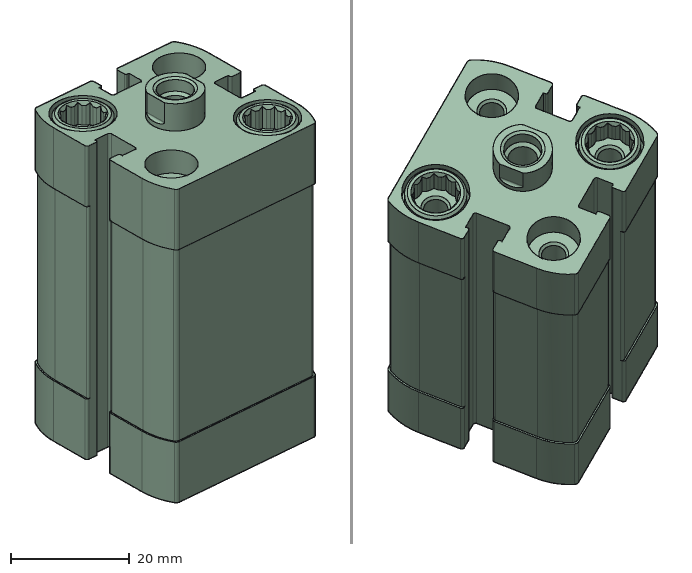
import cadquery as cq
import math


HOUSING_SIDE = 35.5
HOUSING_HEIGHT = 62.1
CAP_HEIGHT = 12.0
BARREL_INSET = 0.305
CORNER_RADIUS = 12.95
CAP_EDGE_FILLET = 0.8
BARREL_EDGE_FILLET = 1.0
HALF_SIDE = HOUSING_SIDE / 2

SLOT_MOUTH_WIDTH = 5.4
SLOT_CHANNEL_WIDTH = 6.8
SLOT_DEPTH = 5.9
SLOT_LIP = 2.5
SLOT_MOUTH_FILLET = 0.5
SLOT_LIP_FILLET = 0.3
SLOT_FLOOR_FILLET = 0.5
SLOT_ANGLES = (0, 90, 180)

HOLE_OFFSET = 11.0
HOLE_DIAMETER = 4.1
HOLE_COUNTERSINK_DIAMETER = 5.0
COUNTERBORE_DIAMETER = 9.0
COUNTERBORE_DEPTH = 4.6

GROOVE_DIAMETER = 11.5
SLEEVE_DIAMETER = 10.5
SLEEVE_TIP_DIAMETER = 9.6
GROOVE_DEPTH = 2.5
SOCKET_DIAMETER = 7.5
SPLINE_DIAMETER = 8.1
SPLINE_COUNT = 12
SPLINE_LAND_WIDTH = 0.7
SOCKET_CHAMFER_DIAMETER = 8.4
SOCKET_CHAMFER_DEPTH = 0.75

ROD_DIAMETER = 10.0
ROD_PROTRUSION = 5.4
ROD_FLATS_WIDTH = 9.0
ROD_FLATS_LENGTH = 3.9
ROD_FLATS_END_RADIUS = 0.55
ROD_BORE_DIAMETER = 6.4
ROD_BORE_CHAMFER_DIAMETER = 7.5
ROD_BORE_CHAMFER_DEPTH = 0.3
ROD_BORE_DEPTH = 2.55
ROD_DRILL_DIAMETER = 5.0
ROD_DRILL_DEPTH = 9.45
DRILL_TIP_ANGLE = 120
ROD_TOP = HOUSING_HEIGHT + ROD_PROTRUSION
ROD_BOTTOM = HOUSING_HEIGHT - CAP_HEIGHT


def turned(profile):
    """Solid of revolution about the Z axis from (radius, z) points."""
    return cq.Workplane("XZ").polyline(profile).close().revolve(360, (0, 0), (0, 1))


def tapered_plug(top_diameter, bottom_diameter, top, depth):
    """Cone frustum on the Z axis, going down from the height `top`."""
    return turned([
        (0, top),
        (top_diameter / 2, top),
        (bottom_diameter / 2, top - depth),
        (0, top - depth),
    ])


def at_corner(shape, side_x, side_y):
    """Move a shape from the Z axis to one of the fastening hole axes."""
    return shape.translate((side_x * HOLE_OFFSET, side_y * HOLE_OFFSET, 0))


def block(half_side, edge_fillet, bottom, height):
    """Square block with a large arc at each corner; `half_side` sets its inset."""
    radius = CORNER_RADIUS - (HALF_SIDE - half_side)
    arc_start = HOLE_OFFSET
    corner_run = half_side - arc_start
    corner_y = half_side - radius + math.sqrt(radius**2 - corner_run**2)
    outline = (
        cq.Workplane("XY", origin=(0, 0, bottom))
        .moveTo(-arc_start, half_side)
        .lineTo(arc_start, half_side)
        .radiusArc((half_side, corner_y), radius)
        .lineTo(half_side, -corner_y)
        .radiusArc((arc_start, -half_side), radius)
        .lineTo(-arc_start, -half_side)
        .radiusArc((-half_side, -corner_y), radius)
        .lineTo(-half_side, corner_y)
        .radiusArc((-arc_start, half_side), radius)
        .close()
    )
    return outline.extrude(height).edges("|Z").edges("<X or >X").fillet(edge_fillet)


def slot_cutter(half_side, bottom, height):
    """T-slot cutter for the back side, its mouth edges rounded outwards."""
    mouth = SLOT_MOUTH_WIDTH / 2
    channel = SLOT_CHANNEL_WIDTH / 2
    lip_y = HALF_SIDE - SLOT_LIP
    floor_y = HALF_SIDE - SLOT_DEPTH
    return (
        cq.Workplane("XY", origin=(0, 0, bottom))
        .moveTo(0, half_side)
        .lineTo(mouth + SLOT_MOUTH_FILLET, half_side)
        .radiusArc((mouth, half_side - SLOT_MOUTH_FILLET), -SLOT_MOUTH_FILLET)
        .lineTo(mouth, lip_y + SLOT_LIP_FILLET)
        .radiusArc((mouth + SLOT_LIP_FILLET, lip_y), -SLOT_LIP_FILLET)
        .lineTo(channel, lip_y)
        .lineTo(channel, floor_y + SLOT_FLOOR_FILLET)
        .radiusArc((channel - SLOT_FLOOR_FILLET, floor_y), SLOT_FLOOR_FILLET)
        .lineTo(0, floor_y)
        .mirrorY()
        .extrude(height)
    )


def section(inset, edge_fillet, bottom, height):
    """One length of the housing: the block with its three T-slots."""
    half_side = HALF_SIDE - inset
    body = block(half_side, edge_fillet, bottom, height)
    cutter = slot_cutter(half_side, bottom, height)
    for angle in SLOT_ANGLES:
        body = body.cut(cutter.rotate((0, 0, 0), (0, 0, 1), angle))
    return body


def fastening_hole():
    """Through hole, countersunk below the depth of the counterbore or socket."""
    bore = cq.Workplane("XY").circle(HOLE_DIAMETER / 2).extrude(HOUSING_HEIGHT)
    countersink_depth = (HOLE_COUNTERSINK_DIAMETER - HOLE_DIAMETER) / 2
    countersink = tapered_plug(
        HOLE_COUNTERSINK_DIAMETER, HOLE_DIAMETER, HOUSING_HEIGHT - COUNTERBORE_DEPTH, countersink_depth
    )
    return bore.union(countersink)


def counterbore(diameter):
    """Flat-bottomed round recess in the top face."""
    floor = HOUSING_HEIGHT - COUNTERBORE_DEPTH
    return cq.Workplane("XY", origin=(0, 0, floor)).circle(diameter / 2).extrude(COUNTERBORE_DEPTH)


def ring_groove():
    """Groove that leaves a sleeve with a chamfered tip, flush with the top face."""
    floor = HOUSING_HEIGHT - GROOVE_DEPTH
    chamfer = (SLEEVE_DIAMETER - SLEEVE_TIP_DIAMETER) / 2
    return turned([
        (GROOVE_DIAMETER / 2, HOUSING_HEIGHT),
        (SLEEVE_TIP_DIAMETER / 2, HOUSING_HEIGHT),
        (SLEEVE_DIAMETER / 2, HOUSING_HEIGHT - chamfer),
        (SLEEVE_DIAMETER / 2, floor),
        (GROOVE_DIAMETER / 2, floor),
    ])


def splined_socket():
    """Round recess with V notches around it, chamfered at the top."""
    floor = HOUSING_HEIGHT - COUNTERBORE_DEPTH
    socket_radius = SOCKET_DIAMETER / 2
    half_pitch = math.pi / SPLINE_COUNT
    notch_half_angle = half_pitch - SPLINE_LAND_WIDTH / 2 / socket_radius
    notch_x = socket_radius * math.cos(notch_half_angle)
    notch_y = socket_radius * math.sin(notch_half_angle)
    notch = (
        cq.Workplane("XY", origin=(0, 0, floor))
        .polyline([(0, 0), (notch_x, -notch_y), (SPLINE_DIAMETER / 2, 0), (notch_x, notch_y)])
        .close()
        .extrude(COUNTERBORE_DEPTH)
    )
    socket = counterbore(SOCKET_DIAMETER)
    for index in range(SPLINE_COUNT):
        notch_angle = math.degrees(half_pitch) * 2 * index
        socket = socket.union(notch.rotate((0, 0, 0), (0, 0, 1), notch_angle))
    chamfer = tapered_plug(
        SOCKET_CHAMFER_DIAMETER, SOCKET_DIAMETER, HOUSING_HEIGHT, SOCKET_CHAMFER_DEPTH
    )
    return socket.union(chamfer)


def build_housing():
    barrel_top = HOUSING_HEIGHT - CAP_HEIGHT
    body = section(0, CAP_EDGE_FILLET, 0, CAP_HEIGHT)
    barrel_height = barrel_top - CAP_HEIGHT
    body = body.union(section(BARREL_INSET, BARREL_EDGE_FILLET, CAP_HEIGHT, barrel_height))
    body = body.union(section(0, CAP_EDGE_FILLET, barrel_top, CAP_HEIGHT))

    for side_x in (-1, 1):
        for side_y in (-1, 1):
            body = body.cut(at_corner(fastening_hole(), side_x, side_y))
    for side in (-1, 1):
        body = body.cut(at_corner(counterbore(COUNTERBORE_DIAMETER), side, -side))
        body = body.cut(at_corner(ring_groove(), side, side))
        body = body.cut(at_corner(splined_socket(), side, side))

    rod_seat = cq.Workplane("XY", origin=(0, 0, ROD_BOTTOM)).circle(ROD_DIAMETER / 2).extrude(CAP_HEIGHT)
    return body.cut(rod_seat).solids()


def rod_flat_cutter():
    """Cutter for the wrench flat on the front, ending in a concave run-out."""
    rod_radius = ROD_DIAMETER / 2
    flat_y = -ROD_FLATS_WIDTH / 2
    flat_bottom = ROD_TOP - ROD_FLATS_LENGTH
    flat_depth = rod_radius + flat_y
    run_out = math.sqrt(ROD_FLATS_END_RADIUS**2 - (ROD_FLATS_END_RADIUS - flat_depth) ** 2)
    return (
        cq.Workplane("YZ")
        .moveTo(flat_y, ROD_TOP)
        .lineTo(flat_y, flat_bottom)
        .radiusArc((-rod_radius, flat_bottom - run_out), ROD_FLATS_END_RADIUS)
        .lineTo(-rod_radius, ROD_TOP)
        .close()
        .extrude(rod_radius, both=True)
    )


def rod_bore():
    """Chamfered bore that narrows through a cone to a drill hole with a conical tip."""
    bore_radius = ROD_BORE_DIAMETER / 2
    drill_radius = ROD_DRILL_DIAMETER / 2
    tip_slope = 1 / math.tan(math.radians(DRILL_TIP_ANGLE / 2))
    bore_bottom = ROD_TOP - ROD_BORE_DEPTH
    drill_bottom = ROD_TOP - ROD_DRILL_DEPTH
    return turned([
        (0, ROD_TOP),
        (ROD_BORE_CHAMFER_DIAMETER / 2, ROD_TOP),
        (bore_radius, ROD_TOP - ROD_BORE_CHAMFER_DEPTH),
        (bore_radius, bore_bottom),
        (drill_radius, bore_bottom - (bore_radius - drill_radius) * tip_slope),
        (drill_radius, drill_bottom),
        (0, drill_bottom - drill_radius * tip_slope),
    ])


def build_rod():
    rod = (
        cq.Workplane("XY", origin=(0, 0, ROD_BOTTOM))
        .circle(ROD_DIAMETER / 2)
        .extrude(ROD_TOP - ROD_BOTTOM)
    )
    flat_cutter = rod_flat_cutter()
    rod = rod.cut(flat_cutter).cut(flat_cutter.mirror("XZ"))
    return rod.cut(rod_bore()).solids()


housing = build_housing()
rod = build_rod()

result = cq.Compound.makeCompound([housing.val(), rod.val()])